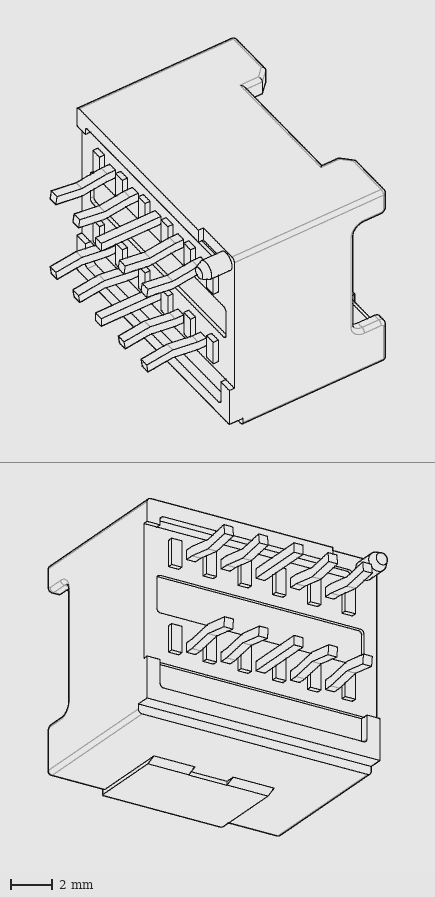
import cadquery as cq
import math


WIDTH = 13.4
HEIGHT = 11.3
DEPTH = 9.25
EDGE_RADIUS = 0.21
HALF_WIDTH = WIDTH / 2

FIELD_DEPTH = 0.3
FIELD_BOTTOM = 2.75
FIELD_TOP = 10.01
REAR_STEP_DEPTH = 0.8
REAR_STEP_HEIGHT = 0.48

POCKET_DEPTH = 0.5
POCKET_HALF_WIDTH = 5.95
POCKET_RADIUS = 0.2
LOWER_POCKET_BOTTOM = 1.26
MIDDLE_POCKET_BOTTOM = 5.43
MIDDLE_POCKET_TOP = 7.45
UPPER_POCKET_TOP = 10.49
UPPER_POCKET_RIGHT = 5.29

SIDE_WALL = 0.6
TOP_WALL = 1.0
BOTTOM_WALL = 1.8
CAVITY_FLOOR = 2.0

SIDE_NOTCH_FLOOR = 7.34
SIDE_NOTCH_BOTTOM = 2.71
SIDE_NOTCH_TOP = 9.8
SIDE_NOTCH_RADIUS = 0.58
SIDE_NOTCH_CORNER = 0.35
TOP_NOTCH_FLOOR = 7.68
TOP_NOTCH_HALF_WIDTH = 3.34
TOP_NOTCH_KNEE = 8.63

LIP_TIP = 9.74
LIP_TIP_HALF_WIDTH = 3.12
LIP_HALF_WIDTH = 3.46
LIP_TIP_BOTTOM = 0.2
LIP_TIP_TOP = 1.41
LIP_ROOT_TOP = 1.69
LEAD_IN_LENGTH = 0.23
PAD_THICKNESS = 0.2
PAD_FULL_START = 5.1
PAD_SLOPE_LENGTH = 0.56
RIB_HALF_WIDTH = 1.1
RIB_END_ANGLE = 8.0

CHANNEL_HALF_WIDTH = 2.57
CHANNEL_DRAFT = 0.05
CHANNEL_Z = 1.2
RAMP_TOP_Y = 8.7
RAMP_TOP_HALF_WIDTH = 2.29
RAMP_TIP_HALF_WIDTH = 2.88
RAMP_SLOPE = math.tan(math.radians(30))
RIB_RAMP_TOP_Y = 8.07

PITCH = 2.0
PIN_COUNT = 5
PIN_SIZE = 0.51
PIN_LENGTH = 3.2
LOWER_ROW_Z = 3.94
UPPER_ROW_Z = 8.94
KINK = 0.21
KINK_START = 0.2
KINK_PEAK = 1.68
BLOCK_WIDTH = 0.59
BLOCK_HEIGHT = 1.42
LOWER_BLOCK_Z = 4.14
UPPER_BLOCK_Z = 8.75

PEG_X = 5.99
PEG_Z = 10.67
PEG_RADIUS = 0.51
PEG_LENGTH = 1.3
PEG_TIP_RADIUS = 0.32
PEG_TIP_LENGTH = 0.4
RELIEF_LEFT = 3.98


def box(x0, x1, y0, y1, z0, z1):
    return cq.Workplane("XY").box(x1 - x0, y1 - y0, z1 - z0, centered=False).translate((x0, y0, z0))


def side_profile(points, half_width, centre=0):
    """A (Y, Z) outline extruded along X, equally to both sides of `centre`."""
    solid = cq.Workplane("YZ").polyline(points).close().extrude(half_width, both=True)
    return solid.translate((centre, 0, 0))


def plan_profile(points, z0, z1):
    """An (X, Y) outline extruded from z0 to z1."""
    return cq.Workplane("XY").workplane(offset=z0).polyline(points).close().extrude(z1 - z0)


def make_shell():
    outline = [
        (REAR_STEP_DEPTH, 0),
        (DEPTH, 0),
        (DEPTH, HEIGHT),
        (0, HEIGHT),
        (0, FIELD_TOP),
        (FIELD_DEPTH, FIELD_TOP),
        (FIELD_DEPTH, FIELD_BOTTOM),
        (0, FIELD_BOTTOM),
        (0, REAR_STEP_HEIGHT),
        (REAR_STEP_DEPTH, REAR_STEP_HEIGHT),
    ]
    shell = side_profile(outline, HALF_WIDTH)

    side_notch = box(-WIDTH, WIDTH, SIDE_NOTCH_FLOOR, WIDTH, SIDE_NOTCH_BOTTOM, SIDE_NOTCH_TOP)
    shell = shell.cut(side_notch.edges("|X and <Y").fillet(SIDE_NOTCH_RADIUS))
    low, high = SIDE_NOTCH_BOTTOM - 0.13, SIDE_NOTCH_TOP + 0.13
    notch_corners = cq.selectors.BoxSelector((-0.13, DEPTH - 0.13, low), (0.13, DEPTH + 0.13, high))
    shell = shell.edges("|X").edges(notch_corners).fillet(SIDE_NOTCH_CORNER)

    beyond = DEPTH + 0.67
    flare_half_width = TOP_NOTCH_HALF_WIDTH + beyond - TOP_NOTCH_KNEE
    top_notch = plan_profile(
        [
            (-TOP_NOTCH_HALF_WIDTH, TOP_NOTCH_FLOOR),
            (TOP_NOTCH_HALF_WIDTH, TOP_NOTCH_FLOOR),
            (TOP_NOTCH_HALF_WIDTH, TOP_NOTCH_KNEE),
            (flare_half_width, beyond),
            (-flare_half_width, beyond),
            (-TOP_NOTCH_HALF_WIDTH, TOP_NOTCH_KNEE),
        ],
        SIDE_NOTCH_TOP - 0.27,
        HEIGHT + 0.27,
    )
    shell = shell.cut(top_notch)

    rounded_from = REAR_STEP_DEPTH + 0.13
    front_part = cq.selectors.BoxSelector((-WIDTH, rounded_from, -WIDTH), (WIDTH, WIDTH, WIDTH))
    outer_edges = shell.faces("<X or >X or >Z or <Z").edges(front_part)
    shell = shell.newObject(outer_edges.vals()).fillet(EDGE_RADIUS)

    cavity = box(
        SIDE_WALL - HALF_WIDTH, HALF_WIDTH - SIDE_WALL, CAVITY_FLOOR, WIDTH, BOTTOM_WALL, HEIGHT - TOP_WALL
    )
    return shell.cut(cavity)


def make_lip():
    """Latch lip in front of the bottom wall, together with the pad under the wall."""
    lip = side_profile(
        [
            (PAD_FULL_START - PAD_SLOPE_LENGTH, 0),
            (PAD_FULL_START, -PAD_THICKNESS),
            (LIP_TIP - LIP_TIP_BOTTOM - PAD_THICKNESS, -PAD_THICKNESS),
            (LIP_TIP, LIP_TIP_BOTTOM),
            (LIP_TIP, LIP_TIP_TOP),
            (DEPTH, LIP_ROOT_TOP),
            (DEPTH - EDGE_RADIUS, LIP_ROOT_TOP),
            (DEPTH - EDGE_RADIUS, 0),
        ],
        LIP_HALF_WIDTH,
    )
    plan = plan_profile(
        [
            (-LIP_HALF_WIDTH, 0),
            (LIP_HALF_WIDTH, 0),
            (LIP_HALF_WIDTH, DEPTH),
            (LIP_TIP_HALF_WIDTH, LIP_TIP),
            (-LIP_TIP_HALF_WIDTH, LIP_TIP),
            (-LIP_HALF_WIDTH, DEPTH),
        ],
        -PAD_THICKNESS,
        BOTTOM_WALL,
    )
    return lip.intersect(plan)


def rib_end_relief():
    """Steep end face of the pad in the middle, in place of the gentle slope."""
    lean = PAD_THICKNESS * math.tan(math.radians(RIB_END_ANGLE))
    return side_profile(
        [
            (0, 0),
            (PAD_FULL_START, 0),
            (PAD_FULL_START + lean, -PAD_THICKNESS),
            (0, -PAD_THICKNESS),
        ],
        RIB_HALF_WIDTH,
    )


def ramp_z(y):
    return CHANNEL_Z + (RAMP_TOP_Y - y) * RAMP_SLOPE


def channel_cut():
    """Channel with a flared ramp at its mouth; the ramp climbs further on the centre rib."""
    mouth_half_width = CHANNEL_HALF_WIDTH + CHANNEL_DRAFT
    section = [
        (-CHANNEL_HALF_WIDTH, CHANNEL_Z),
        (CHANNEL_HALF_WIDTH, CHANNEL_Z),
        (mouth_half_width, BOTTOM_WALL),
        (-mouth_half_width, BOTTOM_WALL),
    ]
    channel = cq.Workplane("XZ").polyline(section).close().extrude(CAVITY_FLOOR - LIP_TIP)
    channel = channel.translate((0, CAVITY_FLOOR, 0))
    rib = box(
        -RIB_HALF_WIDTH, RIB_HALF_WIDTH, CAVITY_FLOOR, RAMP_TOP_Y, CHANNEL_Z, ramp_z(RIB_RAMP_TOP_Y)
    )
    ramp_void = side_profile(
        [
            (RIB_RAMP_TOP_Y, ramp_z(RIB_RAMP_TOP_Y)),
            (LIP_TIP, ramp_z(LIP_TIP)),
            (LIP_TIP, BOTTOM_WALL),
            (RIB_RAMP_TOP_Y, BOTTOM_WALL),
        ],
        HALF_WIDTH,
    )
    flare = plan_profile(
        [
            (-RAMP_TOP_HALF_WIDTH, RAMP_TOP_Y),
            (RAMP_TOP_HALF_WIDTH, RAMP_TOP_Y),
            (RAMP_TIP_HALF_WIDTH, LIP_TIP),
            (-RAMP_TIP_HALF_WIDTH, LIP_TIP),
        ],
        0,
        BOTTOM_WALL,
    )
    rib_strip = box(-RIB_HALF_WIDTH, RIB_HALF_WIDTH, CAVITY_FLOOR, LIP_TIP, 0, BOTTOM_WALL)
    return channel.cut(rib).union(ramp_void.intersect(flare.union(rib_strip)))


def lead_in_cut():
    """Chamfer on the front inner edge of the bottom wall, starting where the lip ends."""
    return side_profile(
        [(DEPTH - LEAD_IN_LENGTH, BOTTOM_WALL), (DEPTH, LIP_ROOT_TOP), (DEPTH, BOTTOM_WALL)],
        HALF_WIDTH - SIDE_WALL,
    )


def rear_pockets():
    middle = box(
        -POCKET_HALF_WIDTH, POCKET_HALF_WIDTH, 0, POCKET_DEPTH, MIDDLE_POCKET_BOTTOM, MIDDLE_POCKET_TOP
    )
    lower = box(
        -POCKET_HALF_WIDTH, POCKET_HALF_WIDTH, 0, POCKET_DEPTH, LOWER_POCKET_BOTTOM, FIELD_BOTTOM
    )
    upper = box(
        -POCKET_HALF_WIDTH, UPPER_POCKET_RIGHT, 0, POCKET_DEPTH, FIELD_TOP, UPPER_POCKET_TOP
    )
    return [
        middle.edges("|Y").fillet(POCKET_RADIUS),
        lower.edges("|Y and <Z").fillet(POCKET_RADIUS),
        upper.edges("|Y and >Z").fillet(POCKET_RADIUS),
    ]


def straight_pin(x, z):
    half = PIN_SIZE / 2
    return box(x - half, x + half, -PIN_LENGTH, POCKET_DEPTH, z - half, z + half)


def kinked_pin(x, z, bend):
    """Pin bowed in Z by `bend` halfway along, with its end face square to the last leg."""
    half = PIN_SIZE / 2
    tilt = PIN_SIZE * bend / (PIN_LENGTH - KINK_PEAK)
    top_end = -PIN_LENGTH + max(-tilt, 0)
    bottom_end = -PIN_LENGTH + max(tilt, 0)
    return side_profile(
        [
            (POCKET_DEPTH, z + half),
            (-KINK_START, z + half),
            (-KINK_PEAK, z + half + bend),
            (top_end, z + half),
            (bottom_end, z - half),
            (-KINK_PEAK, z - half + bend),
            (-KINK_START, z - half),
            (POCKET_DEPTH, z - half),
        ],
        half,
        x,
    )


def make_pins():
    """Both rows; every pin but the middle one is bowed towards the other row."""
    pins = []
    middle = PIN_COUNT // 2
    for z, bend in ((LOWER_ROW_Z, KINK), (UPPER_ROW_Z, -KINK)):
        for i in range(PIN_COUNT):
            x = (i - middle) * PITCH
            pins.append(straight_pin(x, z) if i == middle else kinked_pin(x, z, bend))
    return pins


def make_blocks():
    blocks = []
    for z in (LOWER_BLOCK_Z, UPPER_BLOCK_Z):
        for i in range(PIN_COUNT + 1):
            x = (i - PIN_COUNT / 2) * PITCH
            block = cq.Workplane("XY").box(BLOCK_WIDTH, POCKET_DEPTH, BLOCK_HEIGHT)
            blocks.append(block.translate((x, POCKET_DEPTH / 2, z)))
    return blocks


def make_peg():
    taper_start = PEG_LENGTH - PEG_TIP_LENGTH
    outline = [
        (0, POCKET_DEPTH),
        (PEG_RADIUS, POCKET_DEPTH),
        (PEG_RADIUS, -taper_start),
        (PEG_TIP_RADIUS, -PEG_LENGTH),
        (0, -PEG_LENGTH),
    ]
    peg = cq.Workplane("XY").polyline(outline).close().revolve(360, (0, 0, 0), (0, 1, 0))
    return peg.translate((PEG_X, 0, PEG_Z))


housing = make_shell().union(make_lip())
for void in [lead_in_cut(), channel_cut(), rib_end_relief()] + rear_pockets():
    housing = housing.cut(void)
housing = housing.cut(box(RELIEF_LEFT, HALF_WIDTH, 0, FIELD_DEPTH, FIELD_TOP, HEIGHT))

result = housing
for added in make_pins() + make_blocks() + [make_peg()]:
    result = result.union(added)